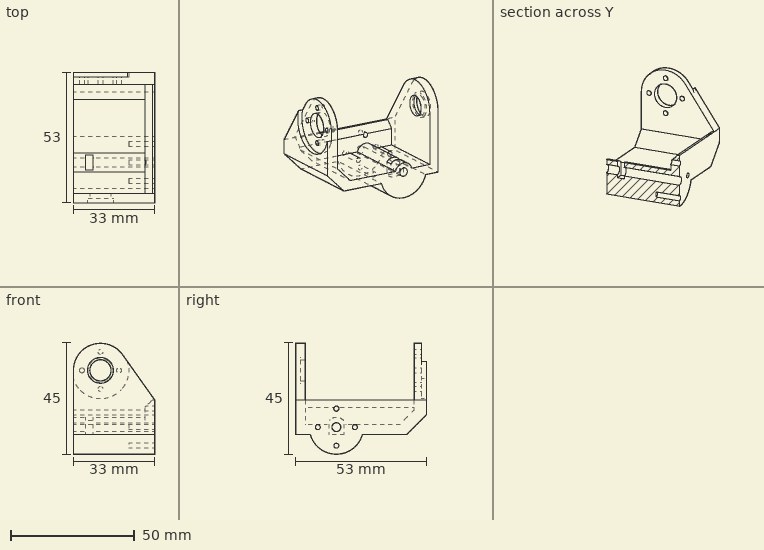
import cadquery as cq
import math

length = 33.0
width = 53.0
plate_thickness = 4.0
front_wall = 4.0
back_wall = 5.0
outer_bevel = 8.0
inner_bevel = 6.0

pivot_radius = 11.0
pivot_x = pivot_radius
pivot_z = 26.0
wall_height = pivot_z + pivot_radius

bar_thickness = 4.0
bar_height = 14.0
bar_bevel = 3.0

bearing_bore = 8.5
bearing_seat = 10.5
bearing_seat_depth = 2.0

horn_recess_radius = 11.5
horn_recess_depth = 2.0
horn_bore = 10.0
screw_hole = 2.0
screw_count = 4
screw_circle_radius = 7.5

hub_y = 16.5
hub_z = 3.0
hub_radius = 11.0
sleeve_diameter = 8.0
shaft_hole = 3.5
hub_screw_depth = 10.5

nut_pocket_x = 5.0
nut_pocket_length = 3.0
nut_pocket_width = 6.0
nut_pocket_floor = hub_z - nut_pocket_width / 2


def cylinder_y(diameter, x, z, y_start, y_end):
    """Cylinder along +Y."""
    start = cq.Vector(x, y_start, z)
    return cq.Workplane(cq.Solid.makeCylinder(diameter / 2, y_end - y_start, start, cq.Vector(0, 1, 0)))


def cylinder_x(diameter, y, z, x_start, x_end):
    """Cylinder along +X."""
    start = cq.Vector(x_start, y, z)
    return cq.Workplane(cq.Solid.makeCylinder(diameter / 2, x_end - x_start, start, cq.Vector(1, 0, 0)))


def screw_offsets():
    """Offsets of the screws, equally spaced around their axis."""
    offsets = []
    for screw in range(screw_count):
        angle = screw * 2 * math.pi / screw_count
        offsets.append((screw_circle_radius * math.cos(angle), screw_circle_radius * math.sin(angle)))
    return offsets


def side_outline():
    """Solid with a round top and a sloped edge tangent to it, over the full width."""
    run = length - pivot_x
    drop = pivot_z - bar_height
    tangent_angle = math.acos(pivot_radius / math.hypot(run, drop)) - math.atan2(drop, run)
    tangent_x = pivot_x + pivot_radius * math.cos(tangent_angle)
    tangent_z = pivot_z + pivot_radius * math.sin(tangent_angle)
    return (
        cq.Workplane("XZ")
        .moveTo(0, 0)
        .lineTo(length, 0)
        .lineTo(length, bar_height)
        .lineTo(tangent_x, tangent_z)
        .threePointArc((pivot_x, wall_height), (0, pivot_z))
        .close()
        .extrude(-width)
    )


def channel_section():
    """U-shaped section with a beveled corner, over the full length."""
    back_inside = width - back_wall
    return (
        cq.Workplane("YZ")
        .moveTo(0, 0)
        .lineTo(width - outer_bevel, 0)
        .lineTo(width, outer_bevel)
        .lineTo(width, wall_height)
        .lineTo(back_inside, wall_height)
        .lineTo(back_inside, plate_thickness + inner_bevel)
        .lineTo(back_inside - inner_bevel, plate_thickness)
        .lineTo(front_wall, plate_thickness)
        .lineTo(front_wall, wall_height)
        .lineTo(0, wall_height)
        .close()
        .extrude(length)
    )


def cross_bar():
    """Bar between the walls, standing on the plate, beveled along its inner top edge."""
    inner_x = length - bar_thickness
    bar_end = width - back_wall
    return (
        cq.Workplane("XZ")
        .moveTo(inner_x, plate_thickness)
        .lineTo(length, plate_thickness)
        .lineTo(length, bar_height)
        .lineTo(inner_x + bar_bevel, bar_height)
        .lineTo(inner_x, bar_height - bar_bevel)
        .close()
        .extrude(-bar_end)
    )


def hub():
    """Lower half-disc under the plate, and the sleeve lying on the plate."""
    disc = cylinder_x(2 * hub_radius, hub_y, hub_z, 0, length)
    below_axis = cq.Workplane("XY").box(length, width, hub_radius, centered=False)
    disc = disc.intersect(below_axis.translate((0, 0, hub_z - hub_radius)))
    return disc.union(cylinder_x(sleeve_diameter, hub_y, hub_z, 0, length))


def cut_front_wall(body):
    """Bearing bore and its seat, opening on the outer face."""
    body = body.cut(cylinder_y(bearing_bore, pivot_x, pivot_z, 0, front_wall))
    return body.cut(cylinder_y(bearing_seat, pivot_x, pivot_z, 0, bearing_seat_depth))


def cut_back_wall(body):
    """Horn recess on the outer face, center bore and screw holes through the wall."""
    inside = width - back_wall
    body = body.cut(cylinder_y(2 * horn_recess_radius, pivot_x, pivot_z, width - horn_recess_depth, width))
    body = body.cut(cylinder_y(horn_bore, pivot_x, pivot_z, inside, width))
    for dx, dz in screw_offsets():
        body = body.cut(cylinder_y(screw_hole, pivot_x + dx, pivot_z + dz, inside, width))
    return body


def cut_hub(body):
    """Shaft hole, screw holes from the +X end, and nut pocket open to the top."""
    body = body.cut(cylinder_x(shaft_hole, hub_y, hub_z, 0, length))
    for dy, dz in screw_offsets():
        body = body.cut(cylinder_x(screw_hole, hub_y + dy, hub_z + dz, length - hub_screw_depth, length))
    pocket = cq.Workplane("XY").box(nut_pocket_length, nut_pocket_width, sleeve_diameter, centered=False)
    return body.cut(pocket.translate((nut_pocket_x, hub_y - nut_pocket_width / 2, nut_pocket_floor)))


body = side_outline().intersect(channel_section())
body = body.union(cross_bar()).union(hub())
body = cut_front_wall(body)
body = cut_back_wall(body)
result = cut_hub(body)